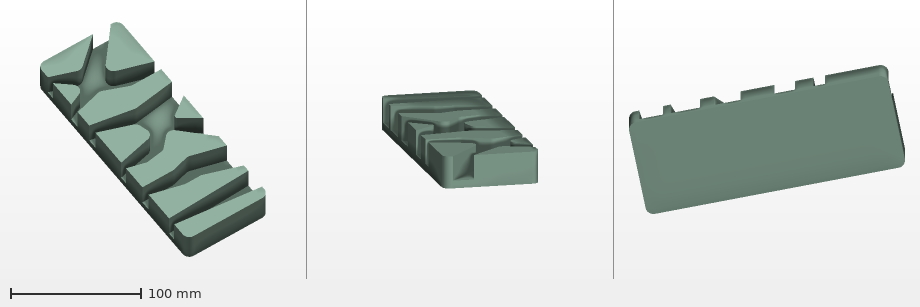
import cadquery as cq

LENGTH = 203.2
WIDTH = 76.2
HEIGHT = 25.5
CORNER_RADIUS = 6.0

FLOOR = 6.0

BEND_RADIUS = 6.0
SMALL_BEND_RADIUS = 2.0

ISLANDS = [
    ([(0, WIDTH), (0, 68.7), (36.4, 37.8), (48.5, WIDTH)], BEND_RADIUS),
    ([(0, 0), (14.5, 0), (23.4, 25.2), (0, 52.2)], BEND_RADIUS),
    ([(21.1, 0), (46.1, 0), (37.5, 19.3)], BEND_RADIUS),
    (
        [(54.9, 0), (70.5, 0), (77.5, 38.8), (72.1, WIDTH), (57.5, WIDTH), (57.5, 48.4), (48.2, 25.2)],
        BEND_RADIUS,
    ),
    ([(88.0, WIDTH), (101.4, 57.5), (114.6, WIDTH)], SMALL_BEND_RADIUS),
    ([(78.8, 0), (113.8, 0), (105.5, 36.0), (90.0, 31.3)], BEND_RADIUS),
    (
        [
            (120.3, 0), (142.5, 0), (142.5, 28.9), (138.0, 45.3), (146.3, WIDTH),
            (135.5, WIDTH), (107.5, 47.5), (122.3, 33.3), (124.8, 16.9),
        ],
        BEND_RADIUS,
    ),
    ([(151.0, 0), (178.6, 0), (175.5, WIDTH), (169.5, WIDTH), (158.5, 43.9), (158.5, 28.9)], BEND_RADIUS),
    ([(185.5, 0), (LENGTH, 0), (LENGTH, WIDTH), (194.0, WIDTH)], BEND_RADIUS),
]


def rounded_block(height):
    """Block of the full length and width with rounded vertical corners."""
    block = cq.Workplane("XY").box(LENGTH, WIDTH, height, centered=False)
    return block.edges("|Z").fillet(CORNER_RADIUS)


def island(outline, bend_radius):
    """Full-height prism with its bends inside the block rounded."""
    prism = cq.Workplane("XY").polyline(outline).close().extrude(HEIGHT)
    edge_gap = 0.2
    inside = cq.selectors.BoxSelector(
        (edge_gap, edge_gap, 0),
        (LENGTH - edge_gap, WIDTH - edge_gap, HEIGHT),
    )
    bends = prism.edges("|Z").edges(inside)
    if bends.size() == 0:
        return prism
    return bends.fillet(bend_radius)


envelope = rounded_block(HEIGHT)
result = rounded_block(FLOOR)
for outline, bend_radius in ISLANDS:
    result = result.union(island(outline, bend_radius).intersect(envelope))
result = result.clean()